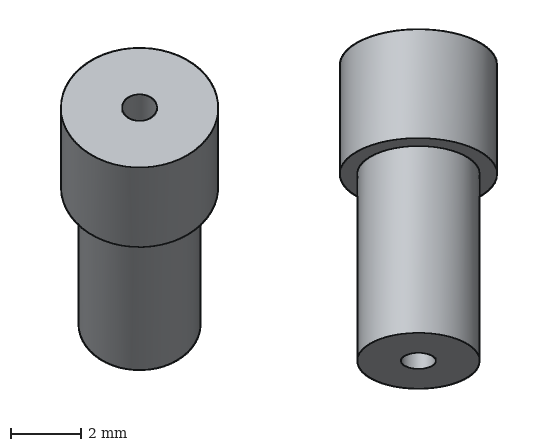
import cadquery as cq

head_diameter = 4.5
head_height = 3.5
shank_diameter = 3.5
shank_length = 6.0
bore_diameter = 1.0

total_height = shank_length + head_height


def cylinder(diameter, height, base_z):
    """Upright cylinder on the Z axis, starting at base_z."""
    return cq.Workplane("XY").workplane(offset=base_z).circle(diameter / 2).extrude(height)


shank = cylinder(shank_diameter, shank_length, 0)
head = cylinder(head_diameter, head_height, shank_length)

bore = cylinder(bore_diameter, total_height, 0)

result = shank.union(head).cut(bore)